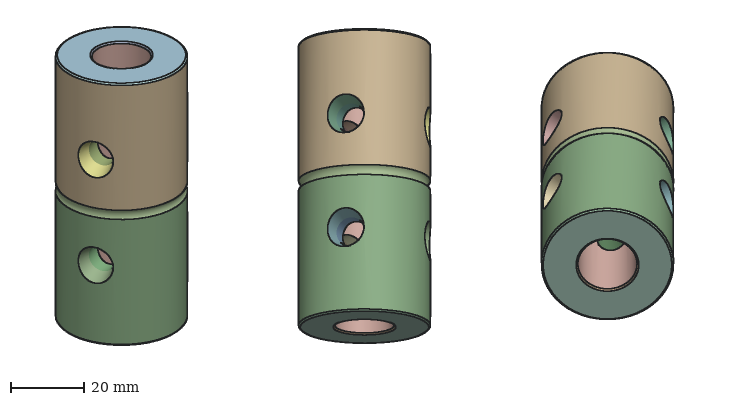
import cadquery as cq

length = 79.4
outer_diameter = 36.0
bore_diameter = 16.1
edge_chamfer = 0.5

groove_width = 2.8
groove_depth = 0.55

cutter_overrun = 1.6

hole_ring_spacing = 32.0
hole_angles = (90, 220, 320)
hole_diameter = 8.0
taper_mouth_diameter = 10.8
taper_start_radius = 12.8

outer_radius = outer_diameter / 2
hole_radius = hole_diameter / 2
mouth_radius = taper_mouth_diameter / 2

taper_slope = (mouth_radius - hole_radius) / (outer_radius - taper_start_radius)

cutter_reach = outer_radius + cutter_overrun
cutter_end_radius = hole_radius + taper_slope * (cutter_reach - taper_start_radius)


def make_sleeve():
    """Hollow cylinder centred on the origin, chamfered at both ends."""
    tube = (
        cq.Workplane("XY")
        .circle(outer_radius)
        .circle(bore_diameter / 2)
        .extrude(length / 2, both=True)
    )
    return tube.faces("<Z or >Z").edges().chamfer(edge_chamfer)


def make_groove_cutter():
    """Ring whose inner side is a shallow arc."""
    half_width = groove_width / 2
    outside = outer_radius + cutter_overrun
    return (
        cq.Workplane("XZ")
        .moveTo(outside, -half_width)
        .lineTo(outer_radius, -half_width)
        .threePointArc((outer_radius - groove_depth, 0), (outer_radius, half_width))
        .lineTo(outside, half_width)
        .close()
        .revolve(360, (0, 0), (0, 1))
    )


def make_hole_cutter(angle, height):
    """Straight hole from the sleeve axis that widens as a cone towards the outside."""
    return (
        cq.Workplane("XY")
        .polyline([
            (0, 0),
            (0, hole_radius),
            (taper_start_radius, hole_radius),
            (cutter_reach, cutter_end_radius),
            (cutter_reach, 0),
        ])
        .close()
        .revolve(360, (0, 0), (1, 0))
        .rotate((0, 0, 0), (0, 0, 1), angle)
        .translate((0, 0, height))
    )


result = make_sleeve().cut(make_groove_cutter())
for ring_height in (-hole_ring_spacing / 2, hole_ring_spacing / 2):
    for hole_angle in hole_angles:
        result = result.cut(make_hole_cutter(hole_angle, ring_height))